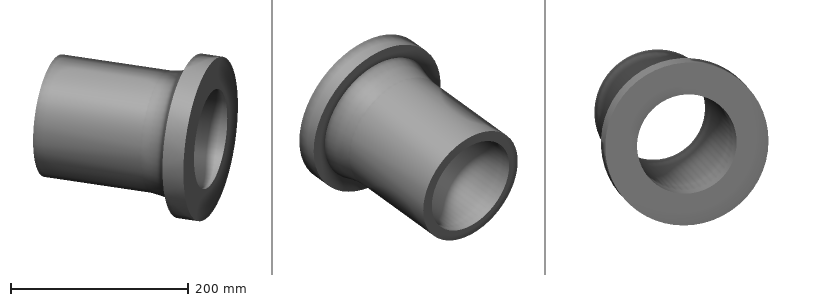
import cadquery as cq
import math

total_length = 188.0
bore_diameter = 114.6
pipe_diameter = 140.0
neck_end_diameter = 155.0
collar_diameter = 188.0
collar_thickness = 25.0
neck_length = 34.0
flare_radius = 140.0

bore_radius = bore_diameter / 2
pipe_radius = pipe_diameter / 2
neck_end_radius = neck_end_diameter / 2
collar_radius = collar_diameter / 2

collar_start = total_length - collar_thickness
neck_start = collar_start - neck_length

neck_rise = neck_end_radius - pipe_radius
neck_chord = math.hypot(neck_length, neck_rise)
flare_sagitta = flare_radius - math.sqrt(flare_radius**2 - (neck_chord / 2) ** 2)
neck_middle = (
    neck_start + neck_length / 2 + flare_sagitta * neck_rise / neck_chord,
    pipe_radius + neck_rise / 2 - flare_sagitta * neck_length / neck_chord,
)


def make_stub_end():
    """Revolve the half section of the wall about the X axis."""
    half_section = (
        cq.Workplane("XY")
        .moveTo(0, bore_radius)
        .lineTo(0, pipe_radius)
        .lineTo(neck_start, pipe_radius)
        .threePointArc(neck_middle, (collar_start, neck_end_radius))
        .lineTo(collar_start, collar_radius)
        .lineTo(total_length, collar_radius)
        .lineTo(total_length, bore_radius)
        .close()
    )
    return half_section.revolve(360, (0, 0, 0), (1, 0, 0))


result = make_stub_end()